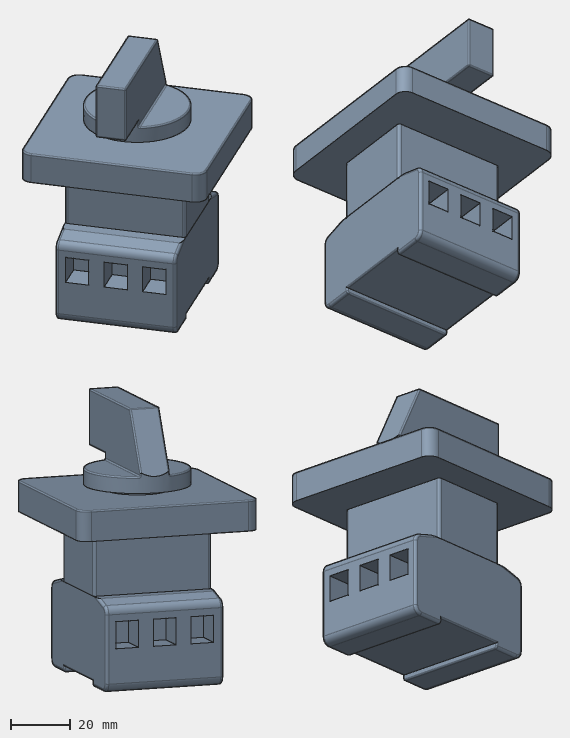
import cadquery as cq
import math


total_height = 92.5
small_fillet = 0.5
edge_fillet = 1.0
selection_margin = 0.1

block_top = 30.9
plate_bottom = 53.0
plate_top = 63.55
disc_bottom = 65.4
disc_top = 71.0
grip_bottom = 73.3

body_width = 42.0
block_depth = 54.0
block_corner_radius = 3.0
shoulder_angle = 15.0
shoulder_start = 19.4

slot_width = 28.0
slot_depth = 2.0

window_count = 3
window_pitch = 13.4
window_width = 8.05
window_height = 9.25
window_bottom = 14.9
window_depth = 10.0

column_depth = 30.0

plate_side = 64.0
plate_corner_radius = 4.0

neck_radius = 21.3 / 2
disc_radius = 36.1 / 2
grip_width = 10.45
grip_reach = 33.0
grip_top_back = 7.1


def at_level(z):
    """Horizontal workplane at height z."""
    return cq.Workplane("XY", origin=(0, 0, z))


def make_block_shell():
    """Block with sloped shoulders and rounded edges, cut flat at the top."""
    half_depth = block_depth / 2
    slope = math.tan(math.radians(shoulder_angle))
    ridge_z = block_top + shoulder_start * slope
    eave_z = ridge_z - half_depth * slope
    outline = [
        (-half_depth, 0),
        (half_depth, 0),
        (half_depth, eave_z),
        (0, ridge_z),
        (-half_depth, eave_z),
    ]
    block = cq.Workplane("YZ").polyline(outline).close().extrude(body_width / 2, both=True)
    block = block.edges("|X and (<Y or >Y)").fillet(block_corner_radius)
    block = block.faces("<X or >X").edges().fillet(edge_fillet)
    ridge = at_level(block_top).rect(body_width, block_depth).extrude(ridge_z - block_top)
    return block.cut(ridge)


def cut_slot(block):
    """Slot across the underside, with both of its mouths lightly rounded."""
    slot = cq.Workplane("XY").rect(body_width, slot_width).extrude(slot_depth)
    reach_x = body_width / 2 + selection_margin
    reach_y = slot_width / 2 + selection_margin
    slot_zone = cq.selectors.BoxSelector(
        (-reach_x, -reach_y, -selection_margin),
        (reach_x, reach_y, slot_depth + selection_margin),
    )
    return block.cut(slot).faces("<X or >X").edges(slot_zone).fillet(small_fillet)


def make_window_cutters():
    """Pockets for one row of terminals in each of the -Y and +Y faces."""
    first_x = -(window_count - 1) * window_pitch / 2
    centres = [
        (first_x + i * window_pitch, side * block_depth / 2)
        for i in range(window_count)
        for side in (-1, 1)
    ]
    return at_level(window_bottom).pushPoints(centres).rect(window_width, 2 * window_depth).extrude(window_height)


def make_contact_block():
    return cut_slot(make_block_shell()).cut(make_window_cutters())


def make_column():
    column = at_level(block_top).rect(body_width, column_depth).extrude(plate_bottom - block_top)
    return column.edges("|Z").fillet(edge_fillet)


def make_plate():
    plate = at_level(plate_bottom).rect(plate_side, plate_side).extrude(plate_top - plate_bottom)
    plate = plate.edges("|Z").fillet(plate_corner_radius)
    return plate.faces(">Z").edges().fillet(small_fillet)


def make_grip():
    """Upright grip with a sloped back; below the overhanging nose it keeps to the round of the disc."""
    profile = [
        (-grip_reach, grip_bottom),
        (-grip_reach, total_height),
        (grip_top_back, total_height),
        (disc_radius, disc_top),
        (disc_radius, disc_bottom),
        (-disc_radius, disc_bottom),
        (-disc_radius, grip_bottom),
    ]
    grip = cq.Workplane("YZ").polyline(profile).close().extrude(grip_width / 2, both=True)
    round_limit = at_level(disc_bottom).circle(disc_radius).extrude(total_height - disc_bottom)
    nose_limit = (
        at_level(grip_bottom)
        .center(0, -grip_reach / 2)
        .rect(grip_width, grip_reach)
        .extrude(total_height - grip_bottom)
    )
    return grip.intersect(round_limit.union(nose_limit))


def make_knob():
    neck = at_level(plate_top).circle(neck_radius).extrude(disc_bottom - plate_top)
    disc = at_level(disc_bottom).circle(disc_radius).extrude(disc_top - disc_bottom)
    knob = neck.union(disc).union(make_grip())
    softened = knob.faces("|X or +Z").edges().add(knob.edges("|X"))
    return knob.newObject(softened.vals()).fillet(small_fillet)


def make_operating_head():
    return make_column().union(make_plate()).union(make_knob())


contact_block = make_contact_block()
operating_head = make_operating_head()

result = cq.Compound.makeCompound([contact_block.val(), operating_head.val()])